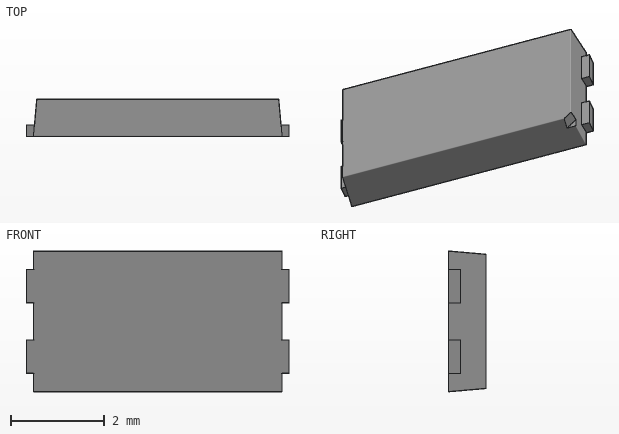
import cadquery as cq

overall_length = 5.6
depth = 0.8
height = 3.0

body_length = 5.3
draft_angle = 5.0
edge_radius = 0.015

tab_height = 0.71
tab_depth = 0.25
tab_pitch = 1.5

mark_depth = 0.25
mark_leg = 0.295


def make_body():
    """Tapered block with its front face on Y = 0 and all edges rounded."""
    block = cq.Workplane("XZ").rect(body_length, height).extrude(-depth, taper=draft_angle)
    return block.edges().fillet(edge_radius)


def make_tabs():
    """Two bars through the body whose ends form the four tabs."""
    bars = cq.Workplane("XZ").pushPoints([(0, -tab_pitch / 2), (0, tab_pitch / 2)])
    return bars.rect(overall_length, tab_height).extrude(-tab_depth)


def make_corner_mark():
    """Triangular cutter for the lower left corner, at the back of the body."""
    left = -body_length / 2
    bottom = -height / 2
    cutter = cq.Workplane("XZ", origin=(0, depth - mark_depth, 0))
    cutter = cutter.polyline([(left, bottom), (left + mark_leg, bottom), (left, bottom + mark_leg)])
    return cutter.close().extrude(-mark_depth)


result = make_body().union(make_tabs()).cut(make_corner_mark())